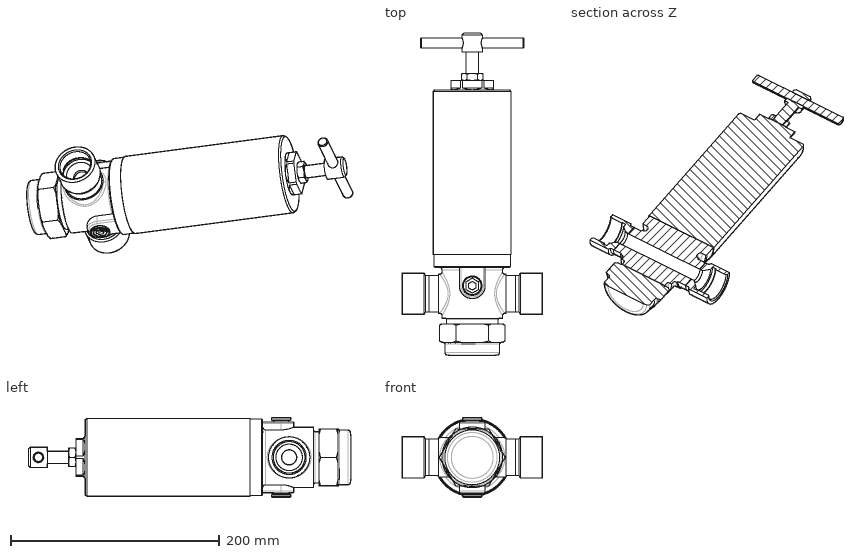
import cadquery as cq
import math


HANDLE_END = 250.5
BAR_AXIS = 241.0
BAR_LENGTH = 99.8
BAR_RADIUS = 5.0
BAR_CHAMFER = 1.0
HUB_RADIUS = 10.0
HUB_LENGTH = 18.3
HUB_CHAMFER = 2.0
SPINDLE_DIAMETER = 12.0
SPINDLE_RADIUS = SPINDLE_DIAMETER / 2

LOCK_NUT_FLATS = 18.0
LOCK_NUT_HEIGHT = 6.8

BONNET_RADIUS = 37.5
BONNET_BASE = 37.5
BONNET_TOP = 196.0
BONNET_CHAMFER_LENGTH = 2.0
BONNET_CHAMFER_DEPTH = 1.2
BOSS_TOP = 205.0
BOSS_RADIUS = 20.5
BOSS_FLATS = 36.5
BOSS_RUNOUT = 2.0

FLANGE_RADIUS = 37.0
FLANGE_BASE = 25.5
FLANGE_CHAMFER = 1.0
FLANGE_FILLET = 2.8
BARREL_RADIUS = 29.0
BARREL_BASE = -23.5
SPIGOT_FILLET = 1.2
SPIGOT_RADIUS = 24.8
SPIGOT_BASE = -28.8
PORT_RADIUS = 19.0
PORT_FACE = 32.5
PORT_FILLET = 2.2
NECK_RADIUS = 17.7
NECK_END = 41.5
FLOW_RADIUS = 7.0

PAD_Y = 7.8
PAD_RADIUS = 12.5
PAD_FACE = 34.0
PAD_FILLET = 1.5

GAUGE_PLUG_FACE = 38.5
GAUGE_PLUG_RADIUS = 9.3
GAUGE_PLUG_NECK_RADIUS = 7.0
GAUGE_PLUG_NECK = 1.2
GAUGE_PLUG_CHAMFER = 0.78
RECESS_FLATS = 12.5
RECESS_DEPTH = 1.0
SOCKET_FLATS = 7.0
SOCKET_DEPTH = 3.7

OVERALL_WIDTH = 135.0
UNION_END = OVERALL_WIDTH / 2
UNION_RADIUS = 19.8
UNION_SHOULDER = 46.2
UNION_CHAMFER = 1.2
UNION_BORE_RADIUS = 15.2
UNION_BORE_DEPTH = 13.5
UNION_RELIEF_RADIUS = 16.0
UNION_RELIEF_DEPTH = 17.5
UNION_MOUTH_CHAMFER = 1.2
UNION_CONE_RADIUS = 12.7

PLUG_FLATS = 55.0
PLUG_HEX_FACE_DIAMETER = 58.3
PLUG_HEX_BASE = -46.8
PLUG_HEX_FILLET = 1.5
PLUG_RADIUS = 26.5
PLUG_RIM = -59.0
PLUG_END = -59.5
PLUG_RIM_RADIUS = 24.0
PLUG_FACE_RADIUS = 20.0
PLUG_FILLET = PLUG_RADIUS - PLUG_RIM_RADIUS

SELECTION_MARGIN = 0.3

HEX_CHAMFER_SLOPE = math.tan(math.radians(30))


def plane_at_y(y):
    """Plane square to the long axis at height y, facing +Y, with local x along -X."""
    return cq.Workplane(cq.Plane(origin=(0, y, 0), xDir=(-1, 0, 0), normal=(0, 1, 0)))


def cylinder_y(radius, y_low, y_high):
    return plane_at_y(y_low).circle(radius).extrude(y_high - y_low)


def hexagon_diameter(flats):
    """Diameter across the corners of a hexagon from its width across flats."""
    return flats / math.cos(math.radians(30))


def turned_hexagon(flats, face_diameter, y_low, y_high):
    """Hexagon prism along Y whose corners are chamfered at both ends down to face_diameter."""
    corner_radius = hexagon_diameter(flats) / 2
    face_radius = face_diameter / 2
    drop = (corner_radius - face_radius) * HEX_CHAMFER_SLOPE
    prism = plane_at_y(y_low).polygon(6, 2 * corner_radius).extrude(y_high - y_low)
    cones = (
        cq.Workplane("XY")
        .moveTo(0, y_low)
        .lineTo(face_radius, y_low)
        .lineTo(corner_radius, y_low + drop)
        .lineTo(corner_radius, y_high - drop)
        .lineTo(face_radius, y_high)
        .lineTo(0, y_high)
        .close()
        .revolve(360, (0, 0, 0), (0, 1, 0))
    )
    return prism.intersect(cones)


def make_handle_bar():
    bar = cq.Workplane("YZ", origin=(-BAR_LENGTH / 2, BAR_AXIS, 0)).circle(BAR_RADIUS).extrude(BAR_LENGTH)
    return bar.faces("<X or >X").chamfer(BAR_CHAMFER)


def make_spindle(handle_bar):
    hub_base = HANDLE_END - HUB_LENGTH
    hub = cylinder_y(HUB_RADIUS, hub_base, HANDLE_END).faces(">Y").chamfer(HUB_CHAMFER)
    shaft = cylinder_y(SPINDLE_RADIUS, BOSS_TOP, hub_base)
    return hub.union(shaft).cut(handle_bar)


def make_lock_nut():
    nut = turned_hexagon(LOCK_NUT_FLATS, LOCK_NUT_FLATS, BOSS_TOP, BOSS_TOP + LOCK_NUT_HEIGHT)
    return nut.cut(cylinder_y(SPINDLE_RADIUS, BOSS_TOP, BOSS_TOP + LOCK_NUT_HEIGHT))


def make_bonnet():
    shell = (
        cylinder_y(BONNET_RADIUS, BONNET_BASE, BONNET_TOP)
        .faces(">Y")
        .chamfer(BONNET_CHAMFER_LENGTH, BONNET_CHAMFER_DEPTH)
    )
    boss = cylinder_y(BOSS_RADIUS, BONNET_TOP, BOSS_TOP)
    runout_top = BONNET_TOP + BOSS_RUNOUT
    flats = plane_at_y(runout_top).polygon(6, hexagon_diameter(BOSS_FLATS)).extrude(BOSS_TOP - runout_top)
    runout = (
        plane_at_y(BONNET_TOP)
        .polygon(6, hexagon_diameter(2 * BOSS_RADIUS))
        .workplane(offset=BOSS_RUNOUT)
        .polygon(6, hexagon_diameter(BOSS_FLATS))
        .loft(ruled=True)
    )
    return shell.union(boss.intersect(flats.union(runout)))


def make_body():
    core = (
        cq.Workplane("XY")
        .moveTo(0, BONNET_BASE)
        .lineTo(FLANGE_RADIUS, BONNET_BASE)
        .lineTo(FLANGE_RADIUS, FLANGE_BASE + FLANGE_CHAMFER)
        .lineTo(FLANGE_RADIUS - FLANGE_CHAMFER, FLANGE_BASE)
        .lineTo(BARREL_RADIUS + FLANGE_FILLET, FLANGE_BASE)
        .radiusArc((BARREL_RADIUS, FLANGE_BASE - FLANGE_FILLET), -FLANGE_FILLET)
        .lineTo(BARREL_RADIUS, BARREL_BASE)
        .lineTo(SPIGOT_RADIUS + SPIGOT_FILLET, BARREL_BASE)
        .radiusArc((SPIGOT_RADIUS, BARREL_BASE - SPIGOT_FILLET), -SPIGOT_FILLET)
        .lineTo(SPIGOT_RADIUS, SPIGOT_BASE)
        .lineTo(0, SPIGOT_BASE)
        .close()
        .revolve(360, (0, 0, 0), (0, 1, 0))
    )
    port_bosses = cq.Workplane("YZ").circle(PORT_RADIUS).extrude(PORT_FACE, both=True)
    body = core.union(port_bosses)
    box_x = BARREL_RADIUS + SELECTION_MARGIN
    box_yz = PORT_RADIUS + SELECTION_MARGIN
    seam_box = cq.selectors.BoxSelector((-box_x, -box_yz, -box_yz), (box_x, box_yz, box_yz), boundingbox=True)
    body = body.edges(seam_box).fillet(PORT_FILLET)
    for side in (1, -1):
        body = body.union(make_pad(side))
    necks = cq.Workplane("YZ").circle(NECK_RADIUS).extrude(NECK_END, both=True)
    flow_bore = cq.Workplane("YZ").circle(FLOW_RADIUS).extrude(NECK_END, both=True)
    return body.union(necks).cut(flow_bore)


def make_pad(side):
    """Round-ended pad that runs from under the flange; side is +1 for +Z and -1 for -Z."""
    pad = (
        cq.Workplane("XY")
        .moveTo(-PAD_RADIUS, FLANGE_BASE)
        .lineTo(-PAD_RADIUS, PAD_Y)
        .threePointArc((0, PAD_Y - PAD_RADIUS), (PAD_RADIUS, PAD_Y))
        .lineTo(PAD_RADIUS, FLANGE_BASE)
        .close()
        .extrude(PAD_FACE)
        .faces(">Z")
        .edges("not >Y")
        .fillet(PAD_FILLET)
    )
    return pad if side > 0 else pad.mirror("XY")


def make_gauge_plug(side):
    """Round plug with a socket; side is +1 for the +Z pad and -1 for the -Z pad."""
    head_base = PAD_FACE + GAUGE_PLUG_NECK
    pad_plane = cq.Workplane("XY", origin=(0, PAD_Y, PAD_FACE))
    neck = pad_plane.circle(GAUGE_PLUG_NECK_RADIUS).extrude(GAUGE_PLUG_NECK)
    head = (
        cq.Workplane("XY", origin=(0, PAD_Y, head_base))
        .circle(GAUGE_PLUG_RADIUS)
        .extrude(GAUGE_PLUG_FACE - head_base)
        .faces("<Z or >Z")
        .chamfer(GAUGE_PLUG_CHAMFER)
    )
    face = cq.Workplane("XY", origin=(0, PAD_Y, GAUGE_PLUG_FACE)).transformed(rotate=(0, 0, 30))
    recess = face.polygon(6, hexagon_diameter(RECESS_FLATS)).extrude(-RECESS_DEPTH)
    socket = face.polygon(6, hexagon_diameter(SOCKET_FLATS)).extrude(-SOCKET_DEPTH)
    plug = neck.union(head).cut(recess).cut(socket)
    return plug if side > 0 else plug.mirror("XY")


def make_union(side):
    """Threaded union on a port neck; side is +1 for the +X port and -1 for the -X port."""
    bore_floor = UNION_END - UNION_BORE_DEPTH
    relief_floor = UNION_END - UNION_RELIEF_DEPTH
    cone_end = relief_floor - (UNION_CONE_RADIUS - FLOW_RADIUS)
    fitting = (
        cq.Workplane("XY")
        .moveTo(NECK_END, FLOW_RADIUS)
        .lineTo(NECK_END, NECK_RADIUS)
        .lineTo(UNION_SHOULDER - UNION_CHAMFER, NECK_RADIUS)
        .lineTo(UNION_SHOULDER, UNION_RADIUS)
        .lineTo(UNION_END, UNION_RADIUS)
        .lineTo(UNION_END, UNION_BORE_RADIUS + UNION_MOUTH_CHAMFER)
        .lineTo(UNION_END - UNION_MOUTH_CHAMFER, UNION_BORE_RADIUS)
        .lineTo(bore_floor, UNION_BORE_RADIUS)
        .lineTo(bore_floor, UNION_RELIEF_RADIUS)
        .lineTo(relief_floor, UNION_RELIEF_RADIUS)
        .lineTo(relief_floor, UNION_CONE_RADIUS)
        .lineTo(cone_end, FLOW_RADIUS)
        .close()
        .revolve(360, (0, 0, 0), (1, 0, 0))
    )
    return fitting if side > 0 else fitting.mirror("YZ")


def make_bottom_plug():
    hexagon = turned_hexagon(PLUG_FLATS, PLUG_HEX_FACE_DIAMETER, PLUG_HEX_BASE, SPIGOT_BASE)
    cap = (
        cq.Workplane("XY")
        .moveTo(0, PLUG_HEX_BASE)
        .lineTo(PLUG_RADIUS + PLUG_HEX_FILLET, PLUG_HEX_BASE)
        .radiusArc((PLUG_RADIUS, PLUG_HEX_BASE - PLUG_HEX_FILLET), -PLUG_HEX_FILLET)
        .lineTo(PLUG_RADIUS, PLUG_RIM + PLUG_FILLET)
        .radiusArc((PLUG_RIM_RADIUS, PLUG_RIM), PLUG_FILLET)
        .lineTo(PLUG_FACE_RADIUS, PLUG_END)
        .lineTo(0, PLUG_END)
        .close()
        .revolve(360, (0, 0, 0), (0, 1, 0))
    )
    return hexagon.union(cap)


handle_bar = make_handle_bar()
spindle = make_spindle(handle_bar)
lock_nut = make_lock_nut()
bonnet = make_bonnet()
body = make_body()
bottom_plug = make_bottom_plug()
gauge_plugs = [make_gauge_plug(side) for side in (1, -1)]
port_unions = [make_union(side) for side in (1, -1)]

result = cq.Compound.makeCompound([
    handle_bar.val(),
    spindle.val(),
    lock_nut.val(),
    bonnet.val(),
    body.val(),
    bottom_plug.val(),
    *[plug.val() for plug in gauge_plugs],
    *[fitting.val() for fitting in port_unions],
])